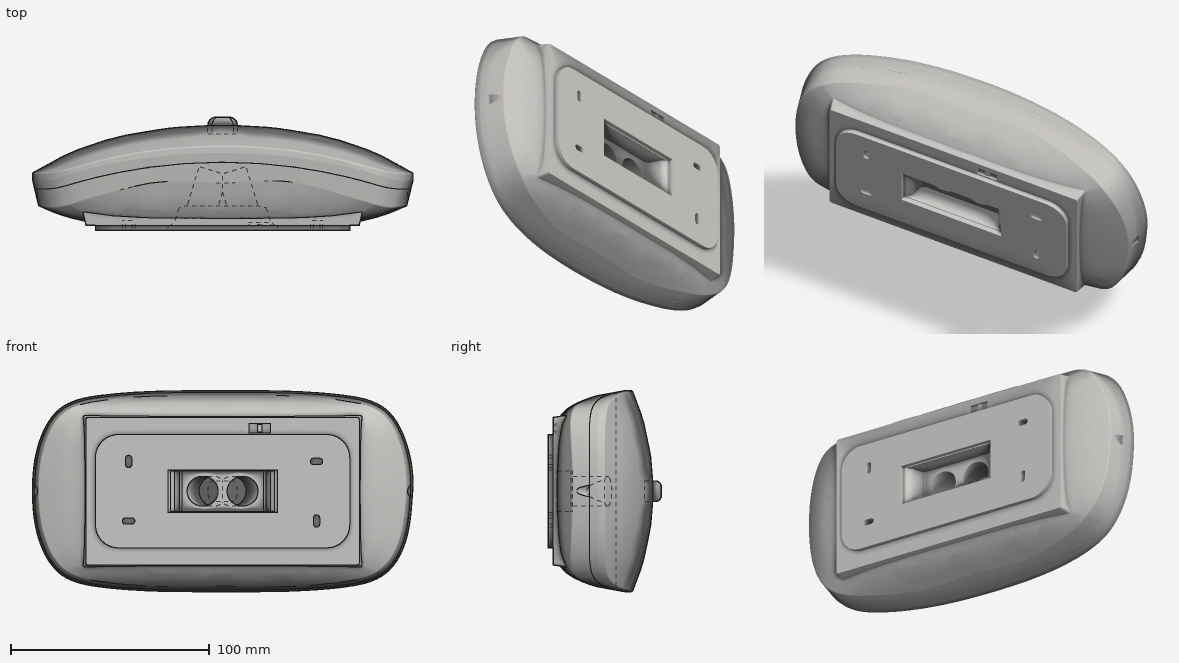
import cadquery as cq
import math


HALF_LENGTH = 95.73
HALF_HEIGHT = 50.61
OUTLINE_QUARTER = [
    (HALF_LENGTH, 0, 0),
    (92.1, 25.4, 17),
    (81.7, 41.6, 52),
    (59.5, 48.5, 80),
    (0, HALF_HEIGHT, 90),
]

DOME_CROWN_Y = 24.35
DOME_QUADRATIC = 0.001873
DOME_QUARTIC = 8.17e-8
DOME_HEIGHT_RADIUS = 128
RIM_FILLET = 1.2

UPRIGHT_BAND = 3.5
END_DRAFT = 13.5
LONG_SIDE_DRAFT = 10.5

SHOULDER_BASE_Y = -27.5
SHOULDER_QUARTIC = 1.55e-7
SHOULDER_GENTLE_RISE = 2.2
SHOULDER_GENTLE_HEIGHT = 38
SHOULDER_STEEP_RISE = 20.3
SHOULDER_STEEP_HEIGHT = 48.1
SHOULDER_STEEP_POWER = 8
SHOULDER_STEEP_FADE_LENGTH = 100
SHOULDER_FILLET = 0.8

PARTING_MIDDLE_Y = 5.8
PARTING_RADIUS = 268
PARTING_ARC_HALF_LENGTH = 78
PARTING_LEVEL_X = 93
PARTING_END_Y = -7.7

PLATE_FACE_Y = -26.0
PLATE_FACE_SIZE = (137.6, 74.4)
PLATE_ROOT_Y = -18.0
PLATE_ROOT_SIZE = (141.2, 76.6)
PLATE_CORNER_FILLET = 1.2
PAD_FACE_Y = -28.5
PAD_LENGTH = 128
PAD_HEIGHT = 57
PAD_CORNER_RADIUS = 11.5

SLOT_WIDTH = 3.2
SLOT_LENGTH = 6.2
SLOT_DEPTH = 5
SLOT_X = 47.3
SLOT_Z = 15

WINDOW_LENGTH = 55.2
WINDOW_HEIGHT = 21.2
WINDOW_INNER_HEIGHT = 20.4
LEDGE_HALF_LENGTH = 26.2
THROAT_HALF_LENGTH = 24.1
THROAT_Y = PLATE_FACE_Y + 2
WALL_FOOT_HALF_LENGTH = 21.8
WALL_FOOT_Y = -17
FLOOR_HALF_LENGTH = 20.5
FLOOR_Y = -16.3

BORE_DIAMETER = 15
BORE_X = 10.05
BORE_LEAN = 17
BORE_DEPTH = 18.5
BORE_LEAD_IN = 3

SWITCH_X = 18.7
SWITCH_Z = 31.7
SWITCH_LENGTH = 10.9
SWITCH_HEIGHT = 4.6
SWITCH_DEPTH = 1.5
SLIDER_LENGTH = 2.5
SLIDER_HEIGHT = 4
SLIDER_RISE = 1

NOTCH_RADIUS = 3.6
NOTCH_X = 96.7

KNOB_RADIUS = 7.5
KNOB_TOP_FILLET = 4.2
KNOB_HALF_HEIGHT = 5.2
KNOB_EDGE_FILLET = 3
KNOB_TOP_Y = 28.55
KNOB_SEAT_Y = 20

MARGIN = 10
SURFACE_STEPS = 24
SURFACE_TOLERANCE = 0.01


def at_y(y):
    """Workplane facing the wall at the given Y, with local axes X and Z."""
    return cq.Workplane("XZ", origin=(0, y, 0))


def dome_y(x, z):
    lengthwise = DOME_QUADRATIC * x**2 + DOME_QUARTIC * x**4
    across = DOME_HEIGHT_RADIUS - math.sqrt(DOME_HEIGHT_RADIUS**2 - z**2)
    return DOME_CROWN_Y - lengthwise - across


def upright_point(x, z, normal):
    return x, z


def drafted_point(y):
    """Rule that moves an outline point along its normal to where the drafted side lies at this Y."""

    def point(x, z, normal):
        band_y = dome_y(x, z) - UPRIGHT_BAND
        angle = math.radians(normal)
        draft = END_DRAFT * math.cos(angle) ** 2 + LONG_SIDE_DRAFT * math.sin(angle) ** 2
        shift = (y - band_y) * math.tan(math.radians(draft))
        return x + shift * math.cos(angle), z + shift * math.sin(angle)

    return point


def outline(plane, place_point):
    """Closed smooth outline, mirrored about both axes from one quarter."""
    quarter = [place_point(*point) for point in OUTLINE_QUARTER]
    upper = quarter + [(-x, z) for x, z in reversed(quarter[:-1])]
    lower = [(-x, -z) for x, z in upper[1:-1]]
    return plane.spline(upper + lower, periodic=True).close()


def shoulder_y(x, z):
    gentle = SHOULDER_GENTLE_RISE * (z / SHOULDER_GENTLE_HEIGHT) ** 2
    fade = 1 - (x / SHOULDER_STEEP_FADE_LENGTH) ** 4
    steep = fade * SHOULDER_STEEP_RISE * (z / SHOULDER_STEEP_HEIGHT) ** SHOULDER_STEEP_POWER
    return SHOULDER_BASE_Y + SHOULDER_QUARTIC * x**4 + gentle + steep


def block_from_surface(surface_y, thickness):
    """Block with one face curved as surface_y(x, z), extending by thickness along Y."""
    reach_x = HALF_LENGTH + 1
    reach_z = HALF_HEIGHT + 1
    steps = [2 * i / SURFACE_STEPS - 1 for i in range(SURFACE_STEPS + 1)]
    grid = [
        [cq.Vector(u * reach_x, surface_y(u * reach_x, v * reach_z), v * reach_z) for v in steps]
        for u in steps
    ]
    face = cq.Face.makeSplineApprox(grid, tol=SURFACE_TOLERANCE, minDeg=3, maxDeg=3)
    return cq.Workplane(cq.Solid.extrudeLinear(face, cq.Vector(0, thickness, 0)))


def make_shell():
    """Outer form of cover and housing together."""
    front_y = DOME_CROWN_Y + MARGIN
    rear_y = SHOULDER_BASE_Y - MARGIN
    depth = front_y - rear_y
    upright = outline(at_y(front_y), upright_point).extrude(depth)
    drafted = outline(at_y(front_y), drafted_point(front_y))
    drafted = outline(drafted.workplane(offset=depth), drafted_point(rear_y)).loft(ruled=True)
    dome = block_from_surface(dome_y, -2 * depth)
    shoulder = block_from_surface(shoulder_y, 2 * depth)
    shell = upright.intersect(drafted).intersect(dome).intersect(shoulder)
    shell = shell.newObject(shell.faces(">Y").val().Edges()).fillet(RIM_FILLET)
    return shell.newObject(shell.faces("<Y").val().Edges()).fillet(SHOULDER_FILLET)


def make_plate():
    """Rear plate, flared toward the shell, with the rounded pad on its face."""
    plate = at_y(PLATE_ROOT_Y).rect(*PLATE_ROOT_SIZE)
    plate = plate.workplane(offset=PLATE_ROOT_Y - PLATE_FACE_Y).rect(*PLATE_FACE_SIZE).loft(ruled=True)
    plate = plate.edges("not(#Y)").fillet(PLATE_CORNER_FILLET)
    pad = at_y(PLATE_FACE_Y).rect(PAD_LENGTH, PAD_HEIGHT).extrude(PLATE_FACE_Y - PAD_FACE_Y)
    return plate.union(pad.edges("|Y").fillet(PAD_CORNER_RADIUS))


def make_window():
    """Stepped recess whose end walls slope in toward a narrower floor."""
    mouth = at_y(PLATE_FACE_Y).rect(WINDOW_LENGTH, WINDOW_HEIGHT).extrude(PLATE_FACE_Y - PAD_FACE_Y)
    half_profile = [
        (LEDGE_HALF_LENGTH, PLATE_FACE_Y),
        (THROAT_HALF_LENGTH, THROAT_Y),
        (WALL_FOOT_HALF_LENGTH, WALL_FOOT_Y),
        (FLOOR_HALF_LENGTH, WALL_FOOT_Y),
        (FLOOR_HALF_LENGTH, FLOOR_Y),
    ]
    profile = half_profile + [(-x, y) for x, y in reversed(half_profile)]
    throat = cq.Workplane("XY").polyline(profile).close().extrude(WINDOW_INNER_HEIGHT / 2, both=True)
    return mouth.union(throat)


def make_bore(side):
    """Flat-bottomed bore through the window floor, leaning toward the middle."""
    bore = at_y(-BORE_LEAD_IN).circle(BORE_DIAMETER / 2).extrude(-BORE_DEPTH - BORE_LEAD_IN)
    bore = bore.rotate((0, 0, 0), (0, 0, 1), side * BORE_LEAN)
    return bore.translate((side * BORE_X, FLOOR_Y, 0))


def make_slots():
    """Four mounting slots; diagonal pairs share a direction."""
    slots = cq.Workplane("XZ")
    for side in (-1, 1):
        for level in (-1, 1):
            angle = 0 if side == level else 90
            slot = at_y(PAD_FACE_Y + SLOT_DEPTH).center(side * SLOT_X, level * SLOT_Z)
            slots = slots.add(slot.slot2D(SLOT_LENGTH, SLOT_WIDTH, angle).extrude(SLOT_DEPTH))
    return slots.combine()


def make_switch_recess():
    """Recess above the pad, with its slider left standing in the middle."""
    plane = at_y(PLATE_FACE_Y + SWITCH_DEPTH).center(SWITCH_X, SWITCH_Z)
    recess = plane.rect(SWITCH_LENGTH, SWITCH_HEIGHT).extrude(SWITCH_DEPTH)
    return recess.cut(plane.rect(SLIDER_LENGTH, SLIDER_HEIGHT).extrude(SLIDER_RISE))


def parting_arc_y(x):
    return PARTING_MIDDLE_Y - PARTING_RADIUS + math.sqrt(PARTING_RADIUS**2 - x**2)


def make_rear_side():
    """Everything behind the parting surface, which arches along X and levels off at the ends."""
    middle_x = PARTING_ARC_HALF_LENGTH / 2
    arc_end_y = parting_arc_y(PARTING_ARC_HALF_LENGTH)
    end_x = HALF_LENGTH + MARGIN
    rear_y = PAD_FACE_Y - MARGIN
    half = (
        cq.Workplane("XY")
        .moveTo(0, rear_y)
        .lineTo(0, PARTING_MIDDLE_Y)
        .threePointArc((middle_x, parting_arc_y(middle_x)), (PARTING_ARC_HALF_LENGTH, arc_end_y))
        .tangentArcPoint((PARTING_LEVEL_X, PARTING_END_Y), relative=False)
        .lineTo(end_x, PARTING_END_Y)
        .lineTo(end_x, rear_y)
        .close()
        .extrude(HALF_HEIGHT + MARGIN, both=True)
    )
    return half.union(half.mirror("YZ")).clean()


def make_knob():
    """Round button flattened on two sides, with rounded edges."""
    height = KNOB_TOP_Y - KNOB_SEAT_Y
    disc = at_y(KNOB_TOP_Y).circle(KNOB_RADIUS).extrude(height).faces(">Y").edges().fillet(KNOB_TOP_FILLET)
    bar = at_y(KNOB_TOP_Y).rect(2 * KNOB_RADIUS, 2 * KNOB_HALF_HEIGHT).extrude(height)
    bar = bar.faces(">Y").edges("|X").fillet(KNOB_EDGE_FILLET)
    return disc.intersect(bar)


def make_housing(shell, rear_side):
    housing = shell.intersect(rear_side).union(make_plate()).cut(make_window())
    housing = housing.cut(make_slots()).cut(make_switch_recess())
    for side in (-1, 1):
        housing = housing.cut(make_bore(side))
        notch = at_y(PARTING_END_Y + MARGIN).center(side * NOTCH_X, 0).circle(NOTCH_RADIUS)
        housing = housing.cut(notch.extrude(2 * MARGIN))
    return housing


shell = make_shell()
rear_side = make_rear_side()
knob = make_knob()
cover = shell.cut(rear_side).cut(knob)
housing = make_housing(shell, rear_side)

result = cq.Compound.makeCompound([housing.val(), cover.val(), knob.val()])